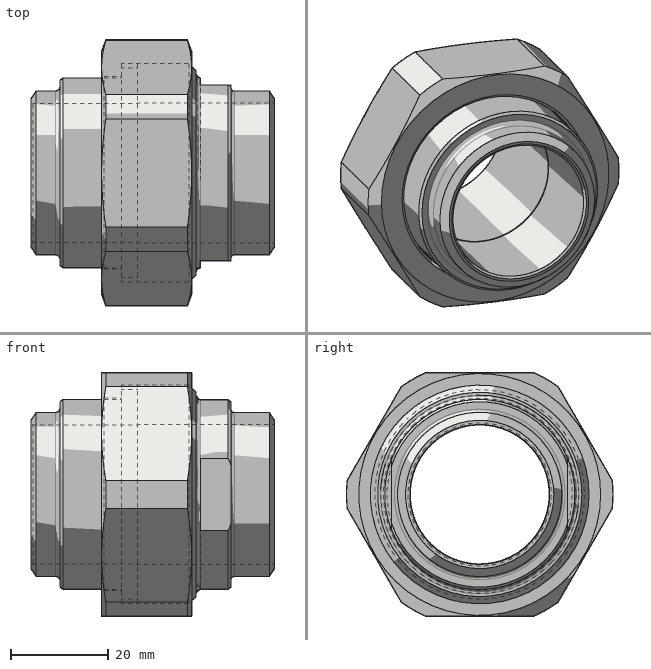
import cadquery as cq
import math

union_length = 50.0

pipe_radius = 33.7 / 2
pipe_chamfer_length = 1.1
pipe_chamfer_depth = 1.65

shoulder_radius = 39.0 / 2
shoulder_chamfer_length = 0.6
shoulder_chamfer_depth = 0.5

nut_start = 14.45
nut_width = 18.6
nut_end = nut_start + nut_width
nut_across_flats = 50.0
nut_corner_radius = 54.7 / 2
nut_face_radius = 49.6 / 2
nut_chamfer_length = 0.95
nut_lip_thickness = 4.15
nut_lip_radius = 39.5 / 2
nut_lip_chamfer = 0.55
lip_end = nut_start + nut_lip_thickness

tail_bore_radius = 28.5 / 2
tail_bore_chamfer = 0.45
tail_face = 5.95
tail_fillet = 0.95
collar_radius = 43.0 / 2
collar_thickness = 3.3
joint = lip_end + collar_thickness

body_bore_radius = 28.7 / 2
thread_radius = 44.85 / 2
thread_end = 33.9
thread_chamfer = 1.5
neck_fillet = 0.9
body_face = 41.05
body_fillet = 0.65
wrench_flat_start = 34.8
wrench_across_flats = 36.1


def arc_point(center, radius, angle):
    """Point of a circle in the profile plane at an angle in degrees."""
    turn = math.radians(angle)
    return (center[0] + radius * math.cos(turn), center[1] + radius * math.sin(turn))


def revolve_about_x(profile):
    """Turn a closed profile of (X, radius) around the X axis."""
    return profile.close().revolve(360, (0, 0, 0), (1, 0, 0))


def make_tailpiece():
    fillet_start = tail_face - tail_fillet
    fillet_top = pipe_radius + tail_fillet
    profile = (
        cq.Workplane("XY")
        .moveTo(0, tail_bore_radius + tail_bore_chamfer)
        .lineTo(0, pipe_radius - pipe_chamfer_depth)
        .lineTo(pipe_chamfer_length, pipe_radius)
        .lineTo(fillet_start, pipe_radius)
        .threePointArc(arc_point((fillet_start, fillet_top), tail_fillet, -45), (tail_face, fillet_top))
        .lineTo(tail_face, shoulder_radius - shoulder_chamfer_depth)
        .lineTo(tail_face + shoulder_chamfer_length, shoulder_radius)
        .lineTo(lip_end, shoulder_radius)
        .lineTo(lip_end, collar_radius)
        .lineTo(joint, collar_radius)
        .lineTo(joint, tail_bore_radius)
        .lineTo(tail_bore_chamfer, tail_bore_radius)
    )
    return revolve_about_x(profile)


def make_nut():
    across_corners = nut_across_flats / math.cos(math.pi / 6)
    prism = cq.Workplane("YZ").workplane(offset=nut_start).polygon(6, across_corners).extrude(nut_width)
    envelope = (
        cq.Workplane("XY")
        .moveTo(nut_start, nut_lip_radius + nut_lip_chamfer)
        .lineTo(nut_start, nut_face_radius)
        .lineTo(nut_start + nut_chamfer_length, nut_corner_radius)
        .lineTo(nut_end - nut_chamfer_length, nut_corner_radius)
        .lineTo(nut_end, nut_face_radius)
        .lineTo(nut_end, thread_radius)
        .lineTo(lip_end, thread_radius)
        .lineTo(lip_end, nut_lip_radius)
        .lineTo(nut_start + nut_lip_chamfer, nut_lip_radius)
    )
    return prism.intersect(revolve_about_x(envelope))


def cut_wrench_flats(body):
    """Cut two flats, facing -Y and +Y, into the shoulder of the body."""
    flat_length = body_face - wrench_flat_start
    cutter_depth = thread_radius - wrench_across_flats / 2
    for side in (-1, 1):
        cutter = cq.Workplane("XY").box(flat_length, cutter_depth, 2 * thread_radius).translate(
            (wrench_flat_start + flat_length / 2, side * (wrench_across_flats + cutter_depth) / 2, 0)
        )
        body = body.cut(cutter)
    return body


def make_threaded_body():
    neck_end = thread_end + neck_fillet
    neck_top = shoulder_radius + neck_fillet
    fillet_end = body_face + body_fillet
    fillet_top = pipe_radius + body_fillet
    profile = (
        cq.Workplane("XY")
        .moveTo(joint, body_bore_radius)
        .lineTo(joint, thread_radius)
        .lineTo(thread_end - thread_chamfer, thread_radius)
        .lineTo(thread_end, thread_radius - thread_chamfer)
        .lineTo(thread_end, neck_top)
        .threePointArc(arc_point((neck_end, neck_top), neck_fillet, -135), (neck_end, shoulder_radius))
        .lineTo(body_face - shoulder_chamfer_length, shoulder_radius)
        .lineTo(body_face, shoulder_radius - shoulder_chamfer_depth)
        .lineTo(body_face, fillet_top)
        .threePointArc(arc_point((fillet_end, fillet_top), body_fillet, -135), (fillet_end, pipe_radius))
        .lineTo(union_length - pipe_chamfer_length, pipe_radius)
        .lineTo(union_length, pipe_radius - pipe_chamfer_depth)
        .lineTo(union_length, body_bore_radius)
    )
    return cut_wrench_flats(revolve_about_x(profile))


tailpiece = make_tailpiece()
nut = make_nut().solids()
threaded_body = make_threaded_body().solids()

result = cq.Compound.makeCompound([tailpiece.val(), nut.val(), threaded_body.val()])